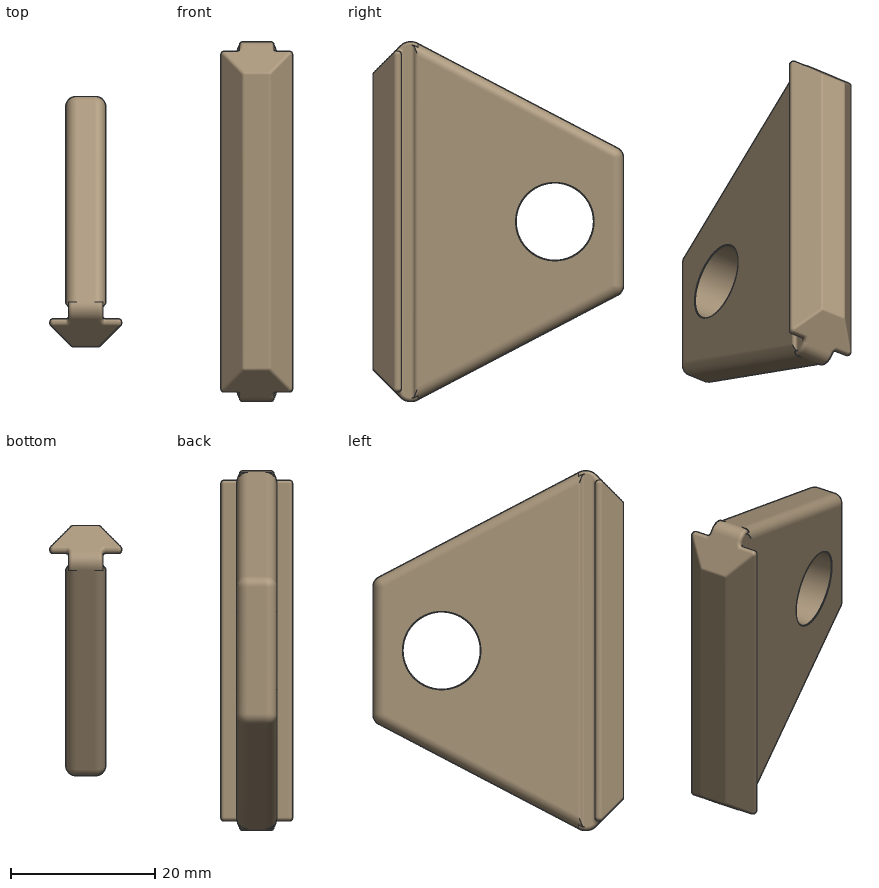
import cadquery as cq
import math

length_z = 50.0
depth_y = 34.8
width_x = 10.0

plate_half_width = 2.8
plate_edge_radius = 1.5
back_half_height = 9.8
peak_y = 5.25
peak_radius = 2.0

neck_half_width = 2.4
step_start_y = 5.4
step_end_y = 6.25

rail_back_y = 3.95
bevel = 3.1
edge_radius = 0.5
root_radius = 0.3

hole_y = 25.25
hole_diameter = 10.7
hole_chamfer = 0.1

half_x = width_x / 2
half_z = length_z / 2
front_half_height = half_z - peak_radius + peak_radius * math.sqrt(2) - peak_y
rail_half_height = front_half_height + bevel


def point_on_peak(angle_degrees):
    """Point on the upper peak arc, with the angle measured from +Y towards +Z."""
    angle = math.radians(angle_degrees)
    return (
        peak_y + peak_radius * math.cos(angle),
        half_z - peak_radius + peak_radius * math.sin(angle),
    )


def mirror_z(point):
    return (point[0], -point[1])


def side_outline(half_width):
    """Slab of the side outline: bevelled front, rounded peaks and tapered back."""
    run = depth_y - peak_y
    rise = half_z - peak_radius - back_half_height
    distance = math.hypot(run, rise)
    tangent_angle = math.degrees(math.acos(peak_radius / distance) - math.atan2(rise, run))
    back_tangent = point_on_peak(tangent_angle)
    front_tangent = point_on_peak(135)
    peak_top = point_on_peak(90)
    front_corner = (0, front_half_height)
    back_corner = (depth_y, back_half_height)
    return (
        cq.Workplane("YZ")
        .moveTo(*front_corner)
        .lineTo(*front_tangent)
        .threePointArc(peak_top, back_tangent)
        .lineTo(*back_corner)
        .lineTo(*mirror_z(back_corner))
        .lineTo(*mirror_z(back_tangent))
        .threePointArc(mirror_z(peak_top), mirror_z(front_tangent))
        .lineTo(*mirror_z(front_corner))
        .close()
        .extrude(half_width, both=True)
    )


def make_plate():
    """Plate with rounded edges, ending in a rounded step down to the neck."""
    slab = side_outline(plate_half_width)
    slab = slab.edges("|X and >Y").fillet(plate_edge_radius)
    slab = slab.faces("<X or >X").edges().fillet(plate_edge_radius)
    return slab.intersect(make_step_envelope())


def make_step_envelope():
    """Prism along Z whose two sides widen from neck to plate in a smooth S-shaped step."""
    run = step_end_y - step_start_y
    rise = plate_half_width - neck_half_width
    arc_radius = (run**2 + rise**2) / (4 * rise)
    middle = (neck_half_width + rise / 2, step_start_y + run / 2)
    half_envelope = (
        cq.Workplane("XY", origin=(0, 0, -half_z))
        .moveTo(0, step_start_y)
        .lineTo(neck_half_width, step_start_y)
        .radiusArc(middle, arc_radius)
        .radiusArc((plate_half_width, step_end_y), -arc_radius)
        .lineTo(plate_half_width, depth_y)
        .lineTo(0, depth_y)
        .close()
        .extrude(length_z)
    )
    return half_envelope.union(half_envelope.mirror("YZ"))


def make_neck():
    """Narrower strip of the same outline, running from the rail into the plate."""
    neck_start = bevel / 2
    neck_end = step_end_y
    zone = cq.Workplane("XY").box(width_x, neck_end - neck_start, length_z, centered=(True, False, True))
    return side_outline(neck_half_width).intersect(zone.translate((0, neck_start, 0)))


def make_rail():
    """Rail with four bevels meeting the narrow front face."""
    block = cq.Workplane("XY").box(width_x, rail_back_y, 2 * rail_half_height, centered=(True, False, True))
    return block.faces("<Y").chamfer(bevel)


def make_rail_with_neck():
    """Rail and neck joined flush along the end bevels, with softened edges and filleted roots."""
    body = make_rail().union(make_neck()).clean()
    margin = 0.05
    root_corners = cq.selectors.BoxSelector(
        (-neck_half_width - margin, bevel + margin, -rail_half_height - margin),
        (neck_half_width + margin, rail_back_y + margin, rail_half_height + margin),
    )
    body = body.edges(root_corners).fillet(root_radius)
    outer_edges = cq.selectors.BoxSelector(
        (-half_x - margin, -margin, -half_z),
        (half_x + margin, step_end_y - 3 * margin, half_z),
    )
    crest_lines = cq.selectors.BoxSelector((-margin, bevel, -half_z), (margin, depth_y, half_z))
    return body.edges(outer_edges - crest_lines).fillet(edge_radius)


def make_hole():
    """Through hole with a small chamfer at both mouths."""
    bore = (
        cq.Workplane("YZ", origin=(0, hole_y, 0))
        .circle(hole_diameter / 2)
        .extrude(plate_half_width, both=True)
    )
    for side in (-1, 1):
        mouth = (
            cq.Workplane("YZ", origin=(side * plate_half_width, hole_y, 0))
            .circle(hole_diameter / 2 + hole_chamfer)
            .workplane(offset=-side * hole_chamfer)
            .circle(hole_diameter / 2)
            .loft(ruled=True)
        )
        bore = bore.union(mouth)
    return bore


result = make_rail_with_neck().union(make_plate()).cut(make_hole())